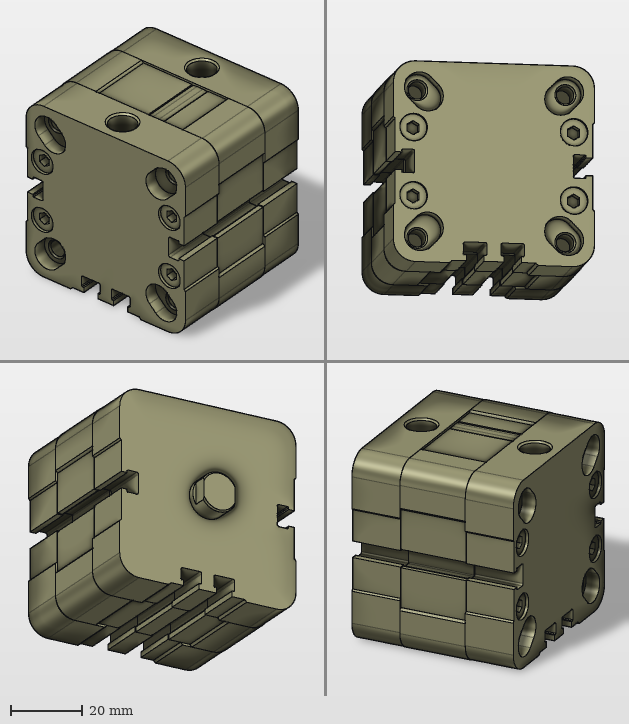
import cadquery as cq
import math

WIDTH = 57.2
HALF = WIDTH / 2
CAP_LENGTH = 15.05
BARREL_LENGTH = 20.5
CAP_CORNER_RADIUS = 6.3
BARREL_CORNER_RADIUS = 6.0

CAP_SIDE_RELIEF_DEPTH = 0.5
RELIEF_DEPTH = 0.7
CAP_RELIEF_HALF = 12.6
BARREL_RELIEF_HALF = 15.6

SLOT_PITCH = 10.7
SLOT_LIP_CHAMFER = 0.3
LIP_DEPTH = 2.4
CAP_NECK_WIDTH = 5.05
CAP_SLOT_WIDTH = 6.7
CAP_SLOT_DEPTH = 6.05
CAP_SLOT_FLOOR_RADIUS = 0.6
BARREL_NECK_WIDTH = 5.6
BARREL_SLOT_WIDTH = 6.5
BARREL_SLOT_DEPTH = 5.55
BARREL_SLOT_FLOOR_RADIUS = 0.3

STRIP_SIDE_GAP = 0.2
STRIP_FLAT_WIDTH = 2.1
STRIP_EDGE_DROP = 0.3

PORT_DIAMETER = 8.6
PORT_MOUTH_DIAMETER = 9.7
PORT_DEPTH = 10.0

MOUNT_OFFSET = 21.05
POCKET_DIAMETER = 8.8
POCKET_SHIFT = 2.25
POCKET_DEPTH = 4.3
MOUNT_HOLE_DIAMETER = 4.9
MOUNT_MOUTH_DIAMETER = 5.95
MOUNT_HOLE_DEPTH = 6.85

SCREW_X = 22.8
SCREW_Z = 9.7
SCREW_RECESS_DIAMETER = 7.8
SCREW_RECESS_DEPTH = 1.0
HEX_ACROSS_FLATS = 3.45
HEX_DEPTH = 2.85

ROD_DIAMETER = 12.0
ROD_PROTRUSION = 6.45
ROD_CHAMFER = 0.45
FLAT_LENGTH = 4.5
ACROSS_FLATS = 10.0

BARREL_START = CAP_LENGTH
REAR_CAP_START = BARREL_START + BARREL_LENGTH
BODY_END = REAR_CAP_START + CAP_LENGTH
ROD_END = BODY_END + ROD_PROTRUSION

BOTTOM, LEFT, TOP, RIGHT = 0, 90, 180, 270
SIDES = (LEFT, RIGHT)


def section(start):
    """Sketch plane across the Y axis at y = start; extrude by a negative length to go toward +Y."""
    return cq.Workplane("XZ", origin=(0, start, 0))


def turned(solid, angle):
    return solid.rotate((0, 0, 0), (0, 1, 0), angle)


def block(start, length, corner_radius):
    return section(start).rect(WIDTH, WIDTH).extrude(-length).edges("|Y").fillet(corner_radius)


def relief(start, length, half_width, depth):
    """Cutter for a shallow relief in the bottom face."""
    outline = [
        (-half_width, -HALF),
        (half_width, -HALF),
        (half_width - depth, depth - HALF),
        (depth - half_width, depth - HALF),
    ]
    return section(start).polyline(outline).close().extrude(-length)


def t_slot(start, length, center_x, neck_width, slot_width, slot_depth, floor_radius):
    """Cutter for a T-slot in the bottom face, with chamfered lips and rounded floor corners."""
    neck = section(start).center(center_x, LIP_DEPTH / 2 - HALF).rect(neck_width, LIP_DEPTH).extrude(-length)
    wide_height = slot_depth - LIP_DEPTH
    wide = (
        section(start)
        .center(center_x, LIP_DEPTH + wide_height / 2 - HALF)
        .rect(slot_width, wide_height)
        .extrude(-length)
        .edges("|Y and <Z")
        .chamfer(SLOT_LIP_CHAMFER)
        .edges("|Y and >Z")
        .fillet(floor_radius)
    )
    return neck.union(wide)


def cap_slot(start, center_x):
    return t_slot(
        start,
        CAP_LENGTH,
        center_x,
        CAP_NECK_WIDTH,
        CAP_SLOT_WIDTH,
        CAP_SLOT_DEPTH,
        CAP_SLOT_FLOOR_RADIUS,
    )


def air_port(center_y):
    """Blind port in the top face with a 45 degree mouth."""
    mouth_depth = (PORT_MOUTH_DIAMETER - PORT_DIAMETER) / 2
    outline = [
        (0, HALF),
        (PORT_MOUTH_DIAMETER / 2, HALF),
        (PORT_DIAMETER / 2, HALF - mouth_depth),
        (PORT_DIAMETER / 2, HALF - PORT_DEPTH),
        (0, HALF - PORT_DEPTH),
    ]
    port = cq.Workplane("XZ").polyline(outline).close().revolve(360, (0, 0), (0, 1))
    return port.translate((0, center_y, 0))


def plain_cap(start):
    cap = block(start, CAP_LENGTH, CAP_CORNER_RADIUS)
    cap = cap.cut(relief(start, CAP_LENGTH, CAP_RELIEF_HALF, RELIEF_DEPTH))
    for side in SIDES:
        cap = cap.cut(turned(relief(start, CAP_LENGTH, CAP_RELIEF_HALF, CAP_SIDE_RELIEF_DEPTH), side))
        cap = cap.cut(turned(cap_slot(start, 0), side))
    for center_x in (-SLOT_PITCH / 2, SLOT_PITCH / 2):
        cap = cap.cut(cap_slot(start, center_x))
    return cap.cut(air_port(start + CAP_LENGTH / 2))


def mount_hole():
    """Hole with a 45 degree mouth, starting at the pocket floor and running along +Y."""
    mouth_depth = (MOUNT_MOUTH_DIAMETER - MOUNT_HOLE_DIAMETER) / 2
    hole_end = POCKET_DEPTH + MOUNT_HOLE_DEPTH
    outline = [
        (0, POCKET_DEPTH),
        (MOUNT_MOUTH_DIAMETER / 2, POCKET_DEPTH),
        (MOUNT_HOLE_DIAMETER / 2, POCKET_DEPTH + mouth_depth),
        (MOUNT_HOLE_DIAMETER / 2, hole_end),
        (0, hole_end),
    ]
    return cq.Workplane("XY").polyline(outline).close().revolve(360, (0, 0), (0, 1))


def mount_pocket(sign_x, sign_z):
    """Oblong pocket reaching from the mounting hole toward the centre, and the hole in its floor."""
    middle = MOUNT_OFFSET - POCKET_SHIFT / 2
    pocket = (
        section(0)
        .center(sign_x * middle, sign_z * middle)
        .slot2D(POCKET_DIAMETER + POCKET_SHIFT * math.sqrt(2), POCKET_DIAMETER, 45 * sign_x * sign_z)
        .extrude(-POCKET_DEPTH)
    )
    return pocket.union(mount_hole().translate((sign_x * MOUNT_OFFSET, 0, sign_z * MOUNT_OFFSET)))


def screw_recess(sign_x, sign_z):
    """Round recess with a hexagon socket in its floor, two of its corners pointing along Z."""
    recess = section(0).circle(SCREW_RECESS_DIAMETER / 2).extrude(-SCREW_RECESS_DEPTH)
    hexagon = (
        section(SCREW_RECESS_DEPTH)
        .transformed(rotate=(0, 0, 30))
        .polygon(6, HEX_ACROSS_FLATS / math.cos(math.pi / 6))
        .extrude(-HEX_DEPTH)
    )
    return recess.union(hexagon).translate((sign_x * SCREW_X, 0, sign_z * SCREW_Z))


def make_front_cap():
    cap = plain_cap(0)
    for sign_x in (-1, 1):
        for sign_z in (-1, 1):
            cap = cap.cut(mount_pocket(sign_x, sign_z))
            cap = cap.cut(screw_recess(sign_x, sign_z))
    return cap


def make_rear_cap():
    rod_hole = section(REAR_CAP_START).circle(ROD_DIAMETER / 2).extrude(-CAP_LENGTH)
    return plain_cap(REAR_CAP_START).cut(rod_hole)


def barrel_slot(center_x):
    return t_slot(
        BARREL_START,
        BARREL_LENGTH,
        center_x,
        BARREL_NECK_WIDTH,
        BARREL_SLOT_WIDTH,
        BARREL_SLOT_DEPTH,
        BARREL_SLOT_FLOOR_RADIUS,
    )


def top_slot():
    """The single slot in the top face, on the +X side."""
    return turned(barrel_slot(-SLOT_PITCH / 2), TOP)


def make_barrel():
    barrel = block(BARREL_START, BARREL_LENGTH, BARREL_CORNER_RADIUS)
    for face in (BOTTOM, LEFT, TOP, RIGHT):
        barrel = barrel.cut(turned(relief(BARREL_START, BARREL_LENGTH, BARREL_RELIEF_HALF, RELIEF_DEPTH), face))
    for side in SIDES:
        barrel = barrel.cut(turned(barrel_slot(0), side))
    for center_x in (-SLOT_PITCH / 2, SLOT_PITCH / 2):
        barrel = barrel.cut(barrel_slot(center_x))
    return barrel.cut(top_slot())


def make_cover_strip():
    """Strip standing on the slot floor; its crowned top is flush with the floor of the relief."""
    crown_z = HALF - RELIEF_DEPTH
    edge_z = crown_z - STRIP_EDGE_DROP
    neck_half = BARREL_NECK_WIDTH / 2 - STRIP_SIDE_GAP
    flat_half = STRIP_FLAT_WIDTH / 2
    base_z = HALF - BARREL_SLOT_DEPTH
    run = neck_half - flat_half
    crown_radius = (run**2 + STRIP_EDGE_DROP**2) / (2 * STRIP_EDGE_DROP)
    half_angle = math.atan2(STRIP_EDGE_DROP, run)
    arc_x = flat_half + crown_radius * math.sin(half_angle)
    arc_z = crown_z - crown_radius * (1 - math.cos(half_angle))
    return (
        section(BARREL_START)
        .center(SLOT_PITCH / 2, 0)
        .moveTo(-neck_half, base_z)
        .lineTo(neck_half, base_z)
        .lineTo(neck_half, edge_z)
        .threePointArc((arc_x, arc_z), (flat_half, crown_z))
        .lineTo(-flat_half, crown_z)
        .threePointArc((-arc_x, arc_z), (-neck_half, edge_z))
        .close()
        .extrude(-BARREL_LENGTH)
    )


def make_rod():
    rod = section(REAR_CAP_START).circle(ROD_DIAMETER / 2).extrude(REAR_CAP_START - ROD_END)
    rod = rod.faces(">Y").chamfer(ROD_CHAMFER)
    flats = section(ROD_END - FLAT_LENGTH).rect(WIDTH, WIDTH).rect(ACROSS_FLATS, WIDTH).extrude(-FLAT_LENGTH)
    return rod.cut(flats)


front_cap = make_front_cap()
barrel = make_barrel()
cover_strip = make_cover_strip()
rear_cap = make_rear_cap()
rod = make_rod()

result = cq.Compound.makeCompound(
    [front_cap.val(), barrel.val(), cover_strip.val(), rear_cap.val(), rod.val()]
)